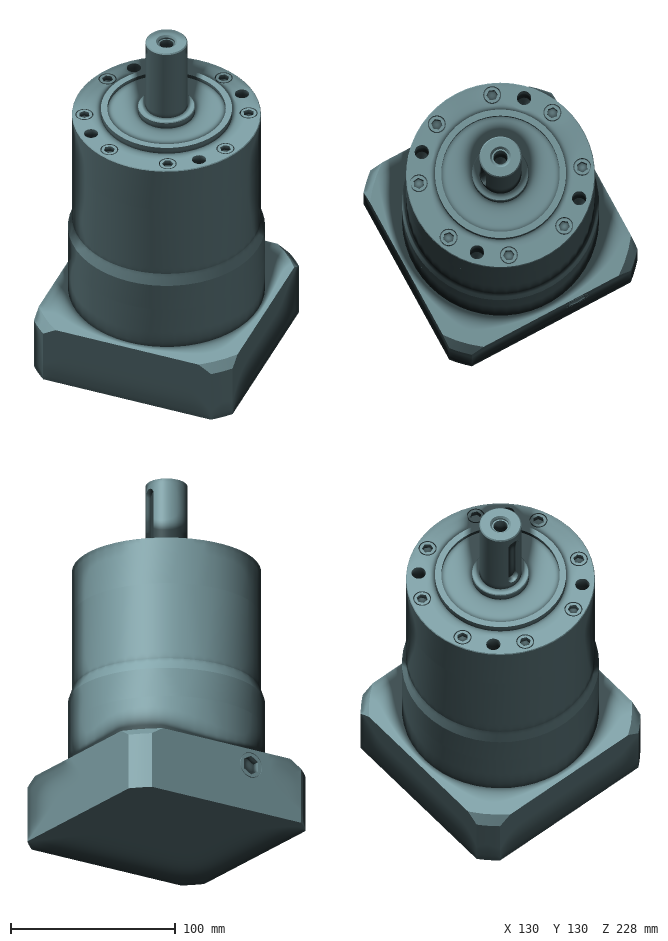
import cadquery as cq
import math

PLATE_TOP = 40.0
SPIGOT_TOP = 43.0
INPUT_RING_TOP = 68.5
TAPER_BOTTOM = 86.6
TAPER_TOP = 94.0
GEAR_RING_TOP = 142.7
FLANGE_TOP = 172.5
SEAL_FLOOR = 174.5
PILOT_TOP = 177.0
COLLAR_TOP = 179.0
SHAFT_TOP = 228.0

LOWER_RADIUS = 60.0
UPPER_RADIUS = 57.5
PILOT_RADIUS = 40.0
SEAL_RADIUS = 36.0
COLLAR_RADIUS = 17.3
SHAFT_RADIUS = 12.8
SMALL_CHAMFER = 0.5
SHAFT_CHAMFER = 0.7

PLATE_SIDE = 130.0
PLATE_CORNER_RADIUS = 85.0
PLATE_CORNER_BEVEL = 5.0

PLUG_Y = -18.0
PLUG_Z = 29.6
PLUG_DIAMETER = 16.2
PLUG_GAP = 0.5
PLUG_GAP_DEPTH = 1.0
PLUG_HEX_FLATS = 10.5
PLUG_HEX_DEPTH = 5.2

BOLT_CIRCLE_RADIUS = 50.0
SCREW_COUNT = 8
SCREW_DIAMETER = 11.0
SCREW_GAP = 0.7
SCREW_GAP_DEPTH = 2.0
SCREW_HEX_FLATS = 6.0
SCREW_HEX_DEPTH = 3.5
THREAD_COUNT = 4
THREAD_DIAMETER = 8.7
THREAD_DEPTH = 20.0

CENTRE_DIAMETER = 8.7
CENTRE_DEPTH = 22.0
CENTRE_BORE_DIAMETER = 10.5
CENTRE_BORE_DEPTH = 2.0
CENTRE_MOUTH_DIAMETER = 12.8
DRILL_POINT_ANGLE = 118
KEY_WIDTH = 8.0
KEY_DEPTH = 4.0
KEY_LENGTH = 40.0
KEY_TOP_GAP = 5.0


def disc(radius, bottom, top):
    """Upright cylinder on the shaft axis between two heights."""
    return cq.Workplane("XY").workplane(offset=bottom).circle(radius).extrude(top - bottom)


def drill_point(diameter):
    """Length of the cone that a drill leaves below a blind hole."""
    return diameter / 2 / math.tan(math.radians(DRILL_POINT_ANGLE / 2))


def turned(profile):
    """Solid of revolution about the Z axis from (radius, height) points."""
    return cq.Workplane("XZ").polyline(profile).close().revolve(360, (0, 0), (0, 1))


def threaded_hole():
    """Cutter for a blind flange hole on the Z axis, ending in a drill point."""
    radius = THREAD_DIAMETER / 2
    bottom = FLANGE_TOP - THREAD_DEPTH
    return turned([
        (0, FLANGE_TOP),
        (radius, FLANGE_TOP),
        (radius, bottom),
        (0, bottom - drill_point(THREAD_DIAMETER)),
    ])


def hex_screw_head(plane, diameter, gap, gap_depth, flats, hex_depth):
    """Cutter for the gap around a flush screw head and its hexagon socket, cut down the plane's normal."""
    ring = cq.Workplane(plane).circle(diameter / 2).circle(diameter / 2 - gap).extrude(-gap_depth)
    corner_diameter = flats / math.cos(math.radians(30))
    socket = cq.Workplane(plane).polygon(6, corner_diameter).extrude(-hex_depth)
    return ring.union(socket)


def around_axis(cutter, count):
    """Copies of a cutter placed on the bolt circle, the first half a pitch from +X."""
    pitch = 360 / count
    copies = cq.Workplane("XY")
    for index in range(count):
        angle = (index + 0.5) * pitch
        copies = copies.add(cutter.translate((BOLT_CIRCLE_RADIUS, 0, 0)).rotate((0, 0, 0), (0, 0, 1), angle))
    return copies.combine()


def make_adapter():
    """Square motor plate with a short round spigot and a plug in its -X face."""
    square = cq.Workplane("XY").rect(PLATE_SIDE, PLATE_SIDE).extrude(PLATE_TOP)
    corner_limit = disc(PLATE_CORNER_RADIUS, 0, PLATE_TOP).faces(">Z").chamfer(PLATE_CORNER_BEVEL)
    spigot = disc(LOWER_RADIUS, PLATE_TOP, SPIGOT_TOP)
    plug_plane = cq.Plane((-PLATE_SIDE / 2, PLUG_Y, PLUG_Z), xDir=(0, 0, 1), normal=(-1, 0, 0))
    plug = hex_screw_head(
        plug_plane, PLUG_DIAMETER, PLUG_GAP, PLUG_GAP_DEPTH, PLUG_HEX_FLATS, PLUG_HEX_DEPTH
    )
    return square.intersect(corner_limit).union(spigot).cut(plug)


def make_input_ring():
    """Plain round section between the adapter and the gear ring."""
    return disc(LOWER_RADIUS, SPIGOT_TOP, INPUT_RING_TOP)


def make_gear_ring():
    """Round section that tapers from the lower to the upper radius."""
    return turned([
        (0, INPUT_RING_TOP),
        (LOWER_RADIUS, INPUT_RING_TOP),
        (LOWER_RADIUS, TAPER_BOTTOM),
        (UPPER_RADIUS, TAPER_TOP),
        (UPPER_RADIUS, GEAR_RING_TOP),
        (0, GEAR_RING_TOP),
    ])


def centre_hole():
    """Cutter for the threaded centre hole in the shaft end, with its bore and 45-degree mouth."""
    mouth_radius = CENTRE_MOUTH_DIAMETER / 2
    bore_radius = CENTRE_BORE_DIAMETER / 2
    radius = CENTRE_DIAMETER / 2
    mouth_bottom = SHAFT_TOP - (mouth_radius - bore_radius)
    bore_bottom = SHAFT_TOP - CENTRE_BORE_DEPTH
    bottom = SHAFT_TOP - CENTRE_DEPTH
    return turned([
        (0, SHAFT_TOP),
        (mouth_radius, SHAFT_TOP),
        (bore_radius, mouth_bottom),
        (bore_radius, bore_bottom),
        (radius, bore_bottom),
        (radius, bottom),
        (0, bottom - drill_point(CENTRE_DIAMETER)),
    ])


def keyway():
    """Cutter for the round-ended keyway in the +Y side of the shaft."""
    middle = SHAFT_TOP - KEY_TOP_GAP - KEY_LENGTH / 2
    return (
        cq.Workplane("XZ", origin=(0, SHAFT_RADIUS - KEY_DEPTH, middle))
        .slot2D(KEY_LENGTH, KEY_WIDTH, 90)
        .extrude(-2 * KEY_DEPTH)
    )


def make_output():
    """Output flange with its pilot ring, collar and keyed shaft."""
    flange = disc(UPPER_RADIUS, GEAR_RING_TOP, FLANGE_TOP).faces(">Z").chamfer(SMALL_CHAMFER)
    pilot = disc(PILOT_RADIUS, FLANGE_TOP, PILOT_TOP)
    seal_recess = disc(SEAL_RADIUS, SEAL_FLOOR, PILOT_TOP)
    collar = disc(COLLAR_RADIUS, SEAL_FLOOR, COLLAR_TOP).faces(">Z").chamfer(SMALL_CHAMFER)
    shaft = disc(SHAFT_RADIUS, COLLAR_TOP, SHAFT_TOP).faces(">Z").chamfer(SHAFT_CHAMFER)

    screw_plane = cq.Plane((0, 0, FLANGE_TOP), xDir=(0, 1, 0), normal=(0, 0, 1))
    screw = hex_screw_head(
        screw_plane, SCREW_DIAMETER, SCREW_GAP, SCREW_GAP_DEPTH, SCREW_HEX_FLATS, SCREW_HEX_DEPTH
    )
    screws = around_axis(screw, SCREW_COUNT)
    threads = around_axis(threaded_hole(), THREAD_COUNT)

    housing = flange.union(pilot).cut(seal_recess).cut(screws).cut(threads)
    return housing.union(collar).union(shaft).cut(centre_hole()).cut(keyway())


adapter = make_adapter()
input_ring = make_input_ring()
gear_ring = make_gear_ring()
output = make_output()

result = cq.Compound.makeCompound([adapter.val(), input_ring.val(), gear_ring.val(), output.val()])